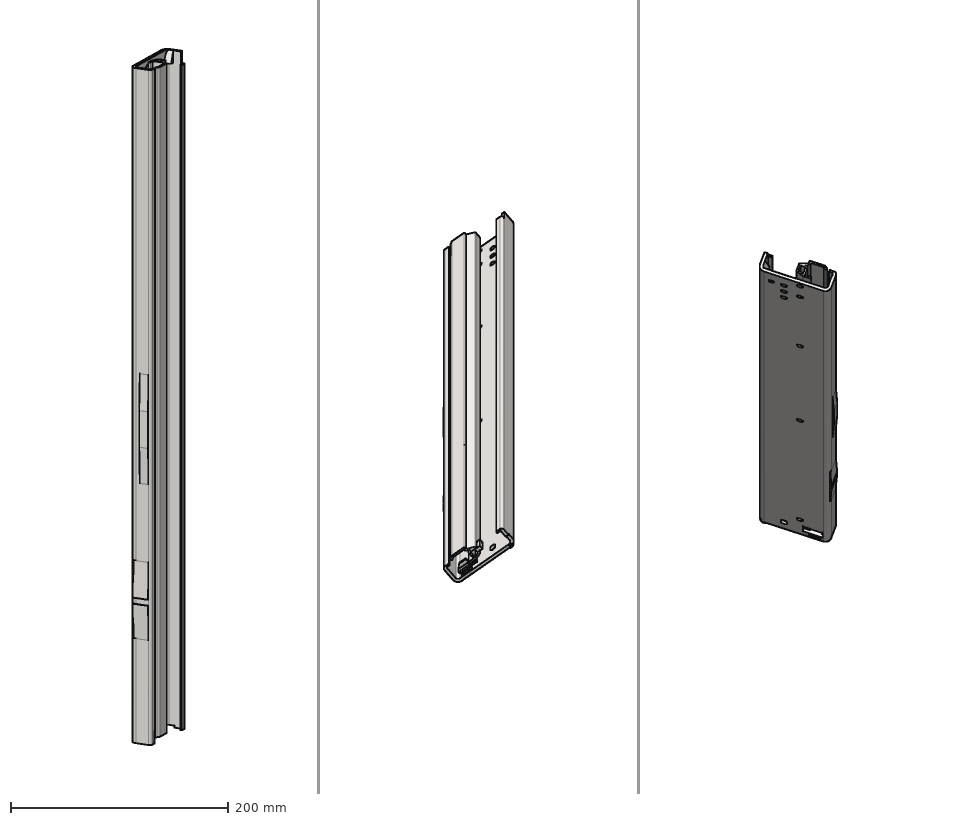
import cadquery as cq

LENGTH = 650.0
TOTAL_DEPTH = 24.0
TOP_Y = 71.0

WALL = 3.0
RAIL_DEPTH = 21.5
CORNER_RADIUS = 6.0
LIP_RADIUS = 2.5
EMBOSS_HEIGHT = 1.0
BOTTOM_Y = EMBOSS_HEIGHT
LIP_WALL = 2.0
LIP_LENGTH = 7.0
MOUTH_START_X = 10.0

FOOT_HEIGHT = 2.0
FOOT_WIDTH = 7.0
FOOT_NOTCH_X = [2.0, 12.0]
RELIEF_START_X = 18.0
RELIEF_HEIGHT = 12.0
STOP_TAB_WIDTH = 7.0
STOP_TAB_DROP = 4.5

HOLE_DIAMETER = 6.0
SLOT_LENGTH = 8.5
OPEN_ROW_Y = 45.5
COVERED_ROW_Y = 30.0
EDGE_HOLE_Y = 58.0
OPEN_ROW_Z = [599.0, 615.0, 630.5]
COVERED_ROW_Z = [39.0, 295.0, 487.5, 615.0, 642.0]
EDGE_HOLE_DIAMETER = 5.0
SLOT_Z = 19.0

EMBOSS_END_X = 19.0
RAMP_START_X = 10.0
RAMP_BREAKS_Z = [252.0, 287.0, 322.5, 357.5]
WEDGE_START_X = 3.0
LOWER_WEDGE_Z = [103.0, 136.0]
UPPER_WEDGE_Z = [142.0, 177.5]

WINDOW_Y = [8.0, 27.0]
WINDOW_Z = [12.0, 23.5]
LOW_WINDOW_Z = [4.0, 8.5]
SHELF_WALL = 2.0
SHELF_END_X = 12.5
SHELF_Y = [10.0, 21.5]
SHELF_CHAMFER = 4.0
APRON_X = [6.5, 8.5]

GUIDE_WALL = 2.0
GUIDE_START_Z = 7.0
LEG_X = 8.5
LEG_END_Y = 23.0
BEAD_BASE_Y = 29.0
BEAD_CREST_Y = 37.0
BEAD_CREST_X = [11.0, 17.5]
BEAD_BASE_END_X = 21.0
SHOULDER_Y = 28.0
HOOK_Y = 14.0
HOOK_END_X = 21.5
HOOK_END_Y = 12.0
PRONG_X = [12.5, 16.0]
PRONG_TOP_Y = 41.0
PRONG_LENGTH = 13.0


def block(x_range, y_range, z_range):
    size = [end - start for start, end in (x_range, y_range, z_range)]
    return cq.Workplane("XY").box(*size, centered=False).translate((x_range[0], y_range[0], z_range[0]))


def make_channel():
    outside = block((0, RAIL_DEPTH), (BOTTOM_Y, TOP_Y), (0, LENGTH))
    outside = outside.edges("|Z and <X").fillet(CORNER_RADIUS).edges("|Z and >X").fillet(LIP_RADIUS)
    inside = block((WALL, RAIL_DEPTH - LIP_WALL), (BOTTOM_Y + WALL, TOP_Y - WALL), (0, LENGTH))
    inside = inside.edges("|Z and <X").fillet(CORNER_RADIUS - WALL)
    mouth_y = (BOTTOM_Y + LIP_LENGTH, TOP_Y - LIP_LENGTH)
    mouth = block((MOUTH_START_X, RAIL_DEPTH), mouth_y, (0, LENGTH))
    return outside.cut(inside).cut(mouth)


def make_end_cuts():
    flange_y = (TOP_Y - FOOT_WIDTH, TOP_Y)
    below_web = block((0, RAIL_DEPTH), (BOTTOM_Y, flange_y[0]), (0, FOOT_HEIGHT))
    foot_notch = block(FOOT_NOTCH_X, flange_y, (0, FOOT_HEIGHT))
    relief = block((RELIEF_START_X, RAIL_DEPTH), flange_y, (LENGTH - RELIEF_HEIGHT, LENGTH))
    return below_web.union(foot_notch).union(relief)


def make_stop_tab():
    inner_y = TOP_Y - WALL
    low_z = LENGTH - RELIEF_HEIGHT
    points = [(inner_y, LENGTH), (inner_y - STOP_TAB_DROP, low_z), (inner_y, low_z)]
    return cq.Workplane("YZ").workplane(offset=WALL).polyline(points).close().extrude(STOP_TAB_WIDTH)


def make_holes():
    plane = cq.Workplane("YZ")
    open_row = [(OPEN_ROW_Y, z) for z in OPEN_ROW_Z]
    covered_row = [(COVERED_ROW_Y, z) for z in COVERED_ROW_Z]
    holes = plane.pushPoints(open_row + covered_row).circle(HOLE_DIAMETER / 2).extrude(WALL)
    edge = plane.center(EDGE_HOLE_Y, OPEN_ROW_Z[-1]).circle(EDGE_HOLE_DIAMETER / 2).extrude(WALL)
    slot = plane.center(OPEN_ROW_Y, SLOT_Z).slot2D(SLOT_LENGTH, HOLE_DIAMETER, 90).extrude(WALL)
    return holes.union(edge).union(slot)


def make_emboss(start_x, points):
    width = EMBOSS_END_X - start_x
    return cq.Workplane("YZ").polyline(points).close().extrude(width).translate((start_x, 0, 0))


def make_wedge(thin_z, thick_z):
    root_y = BOTTOM_Y + WALL
    return make_emboss(WEDGE_START_X, [(root_y, thin_z), (BOTTOM_Y, thin_z), (0, thick_z), (root_y, thick_z)])


def make_embosses():
    ramp = make_emboss(RAMP_START_X, list(zip((BOTTOM_Y, 0, 0, BOTTOM_Y), RAMP_BREAKS_Z)))
    lower = make_wedge(LOWER_WEDGE_Z[0], LOWER_WEDGE_Z[1])
    upper = make_wedge(UPPER_WEDGE_Z[1], UPPER_WEDGE_Z[0])
    return ramp.union(lower).union(upper)


def make_windows():
    return block((0, WALL), WINDOW_Y, WINDOW_Z).union(block((0, WALL), SHELF_Y, LOW_WINDOW_Z))


def make_shelf():
    top_z = WINDOW_Z[0]
    shelf = block((0, SHELF_END_X), SHELF_Y, (top_z - SHELF_WALL, top_z))
    shelf = shelf.edges("|Z and >X and <Y").chamfer(SHELF_CHAMFER)
    return shelf.union(block(APRON_X, SHELF_Y, (LOW_WINDOW_Z[0], top_z)))


def make_rail():
    rail = make_channel().cut(make_end_cuts()).cut(make_holes()).cut(make_windows())
    return rail.union(make_embosses()).union(make_shelf()).union(make_stop_tab())


def make_strip(path):
    strip = cq.Workplane("XY").workplane(offset=GUIDE_START_Z).polyline(path)
    return strip.offset2D(GUIDE_WALL / 2).extrude(LENGTH - GUIDE_START_Z)


def make_guide():
    half_wall = GUIDE_WALL / 2
    wall_x = TOTAL_DEPTH - half_wall
    crest_y = BEAD_CREST_Y - half_wall
    strip = make_strip(
        [
            (LEG_X, LEG_END_Y),
            (LEG_X, BEAD_BASE_Y),
            (BEAD_CREST_X[0], crest_y),
            (BEAD_CREST_X[1], crest_y),
            (BEAD_BASE_END_X, SHOULDER_Y),
            (wall_x, SHOULDER_Y),
            (wall_x, HOOK_Y),
            (HOOK_END_X, HOOK_END_Y),
        ]
    )
    bead_base = make_strip([(LEG_X, BEAD_BASE_Y), (BEAD_CREST_X[1], BEAD_BASE_Y), (BEAD_CREST_X[1], crest_y)])
    prong_z = (GUIDE_START_Z, GUIDE_START_Z + PRONG_LENGTH)
    prong = block(PRONG_X, (crest_y, PRONG_TOP_Y), prong_z)
    return strip.union(bead_base).union(prong)


rail = make_rail()
guide = make_guide()
result = cq.Compound.makeCompound([rail.val(), guide.val()])